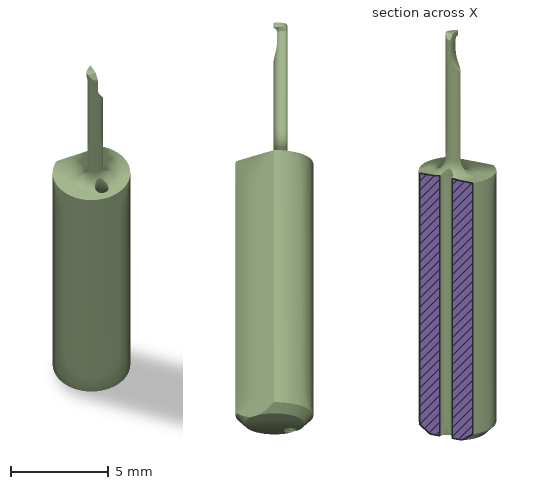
import cadquery as cq
import math

cos_45 = math.cos(math.radians(45))
mid_angle = math.radians(22.5)

shank_radius = 2.0
flat_x = -1.54
shank_length = 14.3
end_chamfer = 0.45

hole_diameter = 0.7
hole_x = 1.25

total_length = 22.0
neck_left_x = 0.2
neck_right_x = 0.79
left_arc_radius = 0.485
right_arc_radius = 0.45
root_fillet = 0.8
left_arc_x = neck_left_x + left_arc_radius
right_arc_x = neck_right_x - right_arc_radius

relief_start_z = 21.05
relief_radius = 1.5

tip_x = -0.08
tip_land = 0.07
tooth_height = 0.27
head_arc_x = 0.45
head_arc_radius = 0.45
head_depth = 0.44
corner_chamfer = 0.29
undercut_height = 0.13
undercut_reach = 0.08


def make_shank():
    shank = cq.Workplane("XY").circle(shank_radius).extrude(shank_length)
    shank = shank.faces("<Z").chamfer(end_chamfer)
    flat_stock = cq.Workplane("XY").box(
        2 * shank_radius, 2 * shank_radius, shank_length, centered=(False, True, False)
    )
    flat_cut = flat_stock.translate((flat_x - 2 * shank_radius, 0, 0))
    return shank.cut(flat_cut)


def make_flared_bar(center_x, radius):
    """Round bar standing in the shank, with a filleted root on the shank end."""
    fillet_top_z = shank_length + root_fillet
    fillet_reach = root_fillet * (1 - cos_45)
    flare_radius = radius + root_fillet
    bar = (
        cq.Workplane("XZ")
        .moveTo(0, shank_length - root_fillet)
        .lineTo(flare_radius, shank_length - root_fillet)
        .lineTo(flare_radius, shank_length)
        .threePointArc((radius + fillet_reach, shank_length + fillet_reach), (radius, fillet_top_z))
        .lineTo(radius, total_length)
        .lineTo(0, total_length)
        .close()
        .revolve(360, (0, 0, 0), (0, 1, 0))
    )
    return bar.translate((center_x, 0, 0))


def make_neck():
    left_bar = make_flared_bar(left_arc_x, left_arc_radius)
    right_bar = make_flared_bar(right_arc_x, right_arc_radius)
    return left_bar.intersect(right_bar)


def make_relief():
    """Stock removed from the +Y half of the neck end; the arc starts tangent to y = 0."""
    runout_depth = relief_radius * (1 - cos_45)
    runout_length = relief_radius * cos_45
    arc_mid = (
        relief_radius * (1 - math.cos(mid_angle)),
        relief_start_z - relief_radius * math.sin(mid_angle),
    )
    relief = (
        cq.Workplane("YZ")
        .moveTo(0, total_length)
        .lineTo(0, relief_start_z)
        .threePointArc(arc_mid, (runout_depth, relief_start_z - runout_length))
        .lineTo(relief_radius, relief_start_z - runout_length)
        .lineTo(relief_radius, total_length)
        .close()
        .extrude(shank_radius, both=True)
    )
    return relief


def make_head_outline(bottom_z):
    """Tooth profile from the given height up to the tool end."""
    arc_center_y = head_arc_radius - head_depth
    arc_start_x = head_arc_x - head_arc_radius * cos_45
    arc_start_y = arc_center_y - head_arc_radius * cos_45
    arc_mid = (
        head_arc_x - head_arc_radius * math.sin(mid_angle),
        arc_center_y - head_arc_radius * math.cos(mid_angle),
    )
    return (
        cq.Workplane("XY", origin=(0, 0, bottom_z))
        .moveTo(tip_x, 0)
        .lineTo(tip_x, -tip_land)
        .lineTo(arc_start_x, arc_start_y)
        .threePointArc(arc_mid, (head_arc_x, -head_depth))
        .lineTo(head_arc_x, 0)
        .close()
        .extrude(total_length - bottom_z)
    )


def make_head():
    """Tooth with a conical transition to the neck underneath."""
    tooth_bottom_z = total_length - tooth_height
    cone_bottom_z = tooth_bottom_z - undercut_height
    tooth = make_head_outline(tooth_bottom_z)
    cone = cq.Workplane(
        cq.Solid.makeCone(
            left_arc_radius,
            left_arc_radius + undercut_reach,
            undercut_height,
            cq.Vector(left_arc_x, 0, cone_bottom_z),
        )
    )
    transition = cone.intersect(make_head_outline(cone_bottom_z))
    return tooth.union(transition)


def make_corner_cut():
    """45 degree chamfer on the +X side of the tool end."""
    return (
        cq.Workplane("XZ")
        .moveTo(neck_right_x - corner_chamfer, total_length)
        .lineTo(neck_right_x + corner_chamfer, total_length)
        .lineTo(neck_right_x + corner_chamfer, total_length - 2 * corner_chamfer)
        .close()
        .extrude(shank_radius, both=True)
    )


def make_hole():
    return (
        cq.Workplane("XY")
        .center(hole_x, 0)
        .circle(hole_diameter / 2)
        .extrude(total_length)
    )


neck = make_neck().cut(make_relief()).union(make_head()).cut(make_corner_cut())
result = make_shank().union(neck).cut(make_hole())